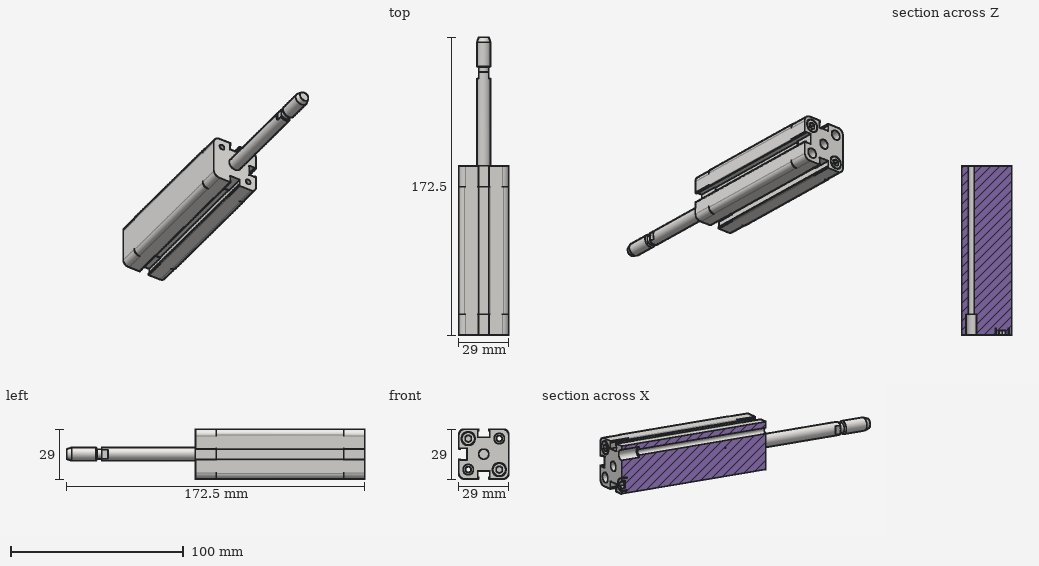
import cadquery as cq

width = 29.0
total_length = 172.5
body_length = 98.0
cap_length = 12.0
barrel_length = body_length - 2 * cap_length
cap_corner_radius = 3.8
barrel_corner_radius = 3.3

groove_opening = 5.7
groove_width = 6.7
cap_groove_depth = 4.7
barrel_groove_depth = 5.2
groove_lip = 1.0
cap_lip_chamfer = 0.3
barrel_lip_radius = 0.5

bolt_offset = 9.0
through_diameter = 3.3
mount_hole_diameter = 6.0
mount_hole_depth = cap_length
port_diameter = 5.9
port_depth = cap_length
bolt_seat_diameter = 8.0
bolt_head_diameter = 7.5
bolt_seat_depth = 4.0
socket_diameter = 4.1
socket_depth = 2.6
socket_sides = 6
socket_turn = 30

rod_diameter = 8.0
neck_diameter = 5.9
tip_diameter = 5.9
tip_length = 3.0
thread_length = 17.6
neck_length = 2.6
shoulder_chamfer = 0.2
flats_length = 4.0
flats_width = 6.0
thread_runout = 0.7
flats_runout = 0.3


def rear_plane(y):
    """Sketch plane across the rod axis: local x = X, local y = Z, extrusions go towards +Y."""
    return cq.Workplane(cq.Plane(origin=(0, y, 0), xDir=(1, 0, 0), normal=(0, -1, 0)))


def block(start, length, corner_radius):
    """Square block with rounded long edges."""
    return rear_plane(start).rect(width, width).extrude(-length).edges("|Y").fillet(corner_radius)


def groove_cutter(start, length, depth, lip_chamfer=0, lip_radius=0):
    """Undercut groove for the +Z face, its mouth flared by a chamfer or by rounded lips."""
    surface = width / 2
    half_opening = groove_opening / 2
    half_width = groove_width / 2
    lip_bottom = surface - groove_lip
    flare = lip_chamfer + lip_radius
    outline = (
        rear_plane(start)
        .moveTo(-half_opening - flare, surface)
        .lineTo(half_opening + flare, surface)
    )
    if lip_radius:
        outline = outline.radiusArc((half_opening, surface - flare), -lip_radius)
    else:
        outline = outline.lineTo(half_opening, surface - flare)
    outline = (
        outline.lineTo(half_opening, lip_bottom)
        .lineTo(half_width, lip_bottom)
        .lineTo(half_width, surface - depth)
        .lineTo(-half_width, surface - depth)
        .lineTo(-half_width, lip_bottom)
        .lineTo(-half_opening, lip_bottom)
        .lineTo(-half_opening, surface - flare)
    )
    if lip_radius:
        outline = outline.radiusArc((-half_opening - flare, surface), -lip_radius)
    return outline.close().extrude(-length)


def grooved(section, cutter):
    """Cut the groove into the -X, +Z and -Z faces of one body section."""
    for angle in (-90, 0, 180):
        section = section.cut(cutter.rotate((0, 0, 0), (0, 1, 0), angle))
    return section


def piston_rod():
    """Turned rod with a threaded end, an undercut neck and two wrench flats."""
    rod_radius = rod_diameter / 2
    neck_radius = neck_diameter / 2
    thread_start = total_length - thread_length
    shoulder = thread_start - neck_length
    rod = (
        cq.Workplane("XY")
        .moveTo(0, body_length - cap_length)
        .lineTo(rod_radius, body_length - cap_length)
        .lineTo(rod_radius, shoulder - shoulder_chamfer)
        .lineTo(rod_radius - shoulder_chamfer, shoulder)
        .lineTo(neck_radius, shoulder)
        .lineTo(neck_radius, thread_start)
        .lineTo(rod_radius, thread_start + thread_runout)
        .lineTo(rod_radius, total_length - tip_length)
        .lineTo(tip_diameter / 2, total_length)
        .lineTo(0, total_length)
        .close()
        .revolve(360, (0, 0, 0), (0, 1, 0))
    )
    flats_end = shoulder - flats_length
    for side in (-1, 1):
        flat = (
            cq.Workplane("XY", origin=(0, 0, -rod_radius))
            .moveTo(side * flats_width / 2, shoulder)
            .lineTo(side * flats_width / 2, flats_end + flats_runout)
            .lineTo(side * rod_radius, flats_end)
            .lineTo(side * rod_diameter, flats_end)
            .lineTo(side * rod_diameter, shoulder)
            .close()
            .extrude(rod_diameter)
        )
        rod = rod.cut(flat)
    return rod


def end_cap(start):
    """End cap with chamfered groove lips."""
    cutter = groove_cutter(start, cap_length, cap_groove_depth, lip_chamfer=cap_lip_chamfer)
    return grooved(block(start, cap_length, cap_corner_radius), cutter)


def barrel():
    """Barrel with rounded groove lips."""
    cutter = groove_cutter(cap_length, barrel_length, barrel_groove_depth, lip_radius=barrel_lip_radius)
    return grooved(block(cap_length, barrel_length, barrel_corner_radius), cutter)


def rear_openings(housing):
    """Mounting holes on one diagonal, socket-head bolts on the other, a port in the middle."""
    mount_points = [(bolt_offset, bolt_offset), (-bolt_offset, -bolt_offset)]
    bolt_points = [(-bolt_offset, bolt_offset), (bolt_offset, -bolt_offset)]
    rear = rear_plane(0)
    cutters = [
        rear.pushPoints(mount_points).circle(through_diameter / 2).extrude(-body_length),
        rear.pushPoints(mount_points).circle(mount_hole_diameter / 2).extrude(-mount_hole_depth),
        rear.circle(port_diameter / 2).extrude(-port_depth),
        rear.pushPoints(bolt_points)
        .circle(bolt_seat_diameter / 2)
        .circle(bolt_head_diameter / 2)
        .extrude(-bolt_seat_depth),
    ]
    for x, z in bolt_points:
        socket = rear_plane(0).polygon(socket_sides, socket_diameter).extrude(-socket_depth)
        cutters.append(socket.rotate((0, 0, 0), (0, 1, 0), socket_turn).translate((x, 0, z)))
    for cutter in cutters:
        housing = housing.cut(cutter)
    return housing


body = end_cap(0).union(barrel()).union(end_cap(cap_length + barrel_length))
result = rear_openings(body).union(piston_rod()).translate((0, -total_length / 2, 0))